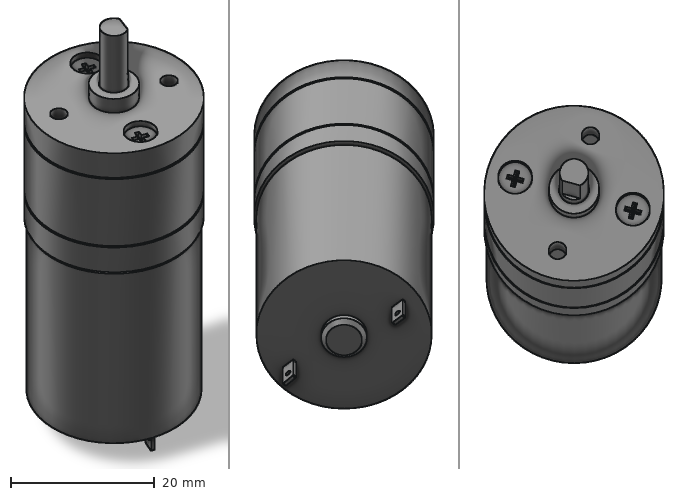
import cadquery as cq


shaft_top = 68.5
bushing_top = 58.5
gearbox_top = 56.0
upper_seam = 51.5
lower_seam = 39.4
gearbox_bottom = 34.95
motor_bottom = 4.3

gearbox_diameter = 25.0
seam_width = 0.2
seam_depth = 0.1
motor_diameter = 24.4
motor_neck_diameter = 23.4
motor_bevel_height = 0.55

bushing_diameter = 7.0
bushing_bore = 4.2
shaft_diameter = 4.0
shaft_flat_depth = 0.5
shaft_flat_length = 7.95

face_hole_radius = 8.5
mounting_hole_diameter = 2.5
mounting_hole_depth = gearbox_top - upper_seam
screw_recess_diameter = 4.7
screw_recess_depth = 0.95
cross_length = 2.3
cross_width = 0.6
cross_depth = 0.6
cross_wall_angle = 20

boss_diameter = 6.4
boss_tip_diameter = 5.0
boss_height = 1.45
boss_taper_height = 0.6

terminal_x = 9.0
terminal_y = 1.2
terminal_width = 2.0
terminal_thickness = 0.55
terminal_length = 4.1
terminal_hole_diameter = 0.8
terminal_hole_drop = 2.55
terminal_corner = 0.15


def cylinder(diameter, bottom, top):
    return cq.Workplane("XY").workplane(offset=bottom).circle(diameter / 2).extrude(top - bottom)


def seam_groove(height):
    """Shallow ring groove centred on the given height."""
    low = height - seam_width / 2
    high = height + seam_width / 2
    core = cylinder(gearbox_diameter - 2 * seam_depth, low, high)
    return cylinder(gearbox_diameter, low, high).cut(core)


def motor_can():
    """Revolved motor can with its bevelled shoulder and the tapered rear boss."""
    boss_bottom = motor_bottom - boss_height
    return (
        cq.Workplane("XZ")
        .moveTo(0, gearbox_bottom)
        .lineTo(motor_neck_diameter / 2, gearbox_bottom)
        .lineTo(motor_diameter / 2, gearbox_bottom - motor_bevel_height)
        .lineTo(motor_diameter / 2, motor_bottom)
        .lineTo(boss_diameter / 2, motor_bottom)
        .lineTo(boss_diameter / 2, boss_bottom + boss_taper_height)
        .lineTo(boss_tip_diameter / 2, boss_bottom)
        .lineTo(0, boss_bottom)
        .close()
        .revolve(360, (0, 0, 0), (0, 1, 0))
    )


def output_shaft():
    """Shaft seated at the bottom of the bushing bore, with a flat on its +Y side."""
    flat_y = shaft_diameter / 2 - shaft_flat_depth
    flat_cut = (
        cq.Workplane("XY")
        .workplane(offset=shaft_top - shaft_flat_length)
        .center(0, flat_y + shaft_diameter / 2)
        .rect(2 * shaft_diameter, shaft_diameter)
        .extrude(shaft_flat_length)
    )
    return cylinder(shaft_diameter, gearbox_top, shaft_top).cut(flat_cut)


def screw_recess(x):
    """Round recess showing a screw head with a cross slot with sloping walls in its floor."""
    floor = gearbox_top - screw_recess_depth
    recess = cylinder(screw_recess_diameter, floor, gearbox_top).translate((x, 0, 0))
    for size_x, size_y in ((cross_length, cross_width), (cross_width, cross_length)):
        slot = cq.Workplane("XY", origin=(x, 0, floor)).rect(size_x, size_y)
        recess = recess.union(slot.extrude(-cross_depth, taper=cross_wall_angle))
    return recess


def terminal(x, y, tip_drop):
    """Flat tab with an eyelet; its +X tip corner may reach lower than the other one."""
    half = terminal_width / 2
    tip = motor_bottom - terminal_length
    low_tip = tip - tip_drop
    tab = (
        cq.Workplane("XZ", origin=(x, y, 0))
        .moveTo(-half, motor_bottom)
        .lineTo(-half, tip + terminal_corner)
        .lineTo(-half + terminal_corner, tip)
        .lineTo(half - terminal_corner, low_tip)
        .lineTo(half, low_tip + terminal_corner)
        .lineTo(half, motor_bottom)
        .close()
        .extrude(terminal_thickness / 2, both=True)
    )
    eyelet = (
        cq.Workplane("XZ", origin=(x, y, motor_bottom - terminal_hole_drop))
        .circle(terminal_hole_diameter / 2)
        .extrude(terminal_thickness, both=True)
    )
    return tab.cut(eyelet)


body = cylinder(gearbox_diameter, gearbox_bottom, gearbox_top)
for seam_height in (upper_seam, lower_seam):
    body = body.cut(seam_groove(seam_height))
body = body.union(cylinder(bushing_diameter, gearbox_top, bushing_top))
body = body.cut(cylinder(bushing_bore, gearbox_top, bushing_top))

for side in (-1, 1):
    hole = cylinder(mounting_hole_diameter, gearbox_top - mounting_hole_depth, gearbox_top)
    body = body.cut(hole.translate((0, side * face_hole_radius, 0)))
    body = body.cut(screw_recess(side * face_hole_radius))

body = body.union(output_shaft())
body = body.union(motor_can())

slanted_tip_drop = motor_bottom - terminal_length
body = body.union(terminal(-terminal_x, -terminal_y, 0))
body = body.union(terminal(terminal_x, terminal_y, slanted_tip_drop))

result = body.solids()